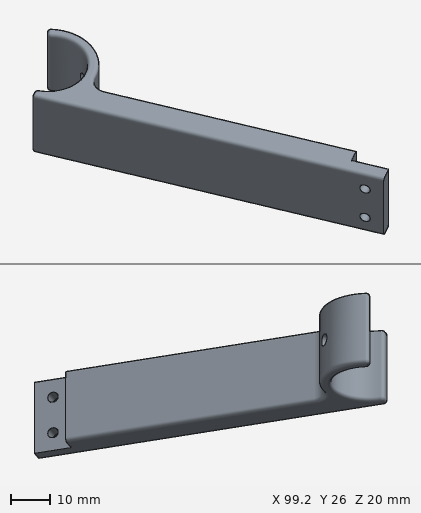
import cadquery as cq
import math

width = 20.0
reach = 95.0
clip_outer_radius = 13.0
clip_inner_radius = 10.0
clip_overhang_angle = 20.0
bar_thickness = 8.0
neck_radius = 4.0
edge_radius = 1.0
step_length = 10.0
step_thickness = 4.0
mount_hole_diameter = 2.8
mount_hole_spacing = width / 2
clip_hole_diameter = 3.2
clip_hole_angle = 45.0
trim_allowance = 5.0

clip_center_y = clip_outer_radius
stock_end = reach + trim_allowance


def clip_point(radius, angle):
    """Point around the clip axis, with the angle in degrees from +X."""
    turn = math.radians(angle)
    return radius * math.cos(turn), clip_center_y + radius * math.sin(turn)


def make_body():
    """Clip and bar with a rounded neck between them and all edges rounded."""
    tip_angle = 90 + clip_overhang_angle
    neck_y = bar_thickness + neck_radius
    neck_distance = clip_outer_radius + neck_radius
    neck_angle = math.degrees(math.asin((neck_y - clip_center_y) / neck_distance))
    neck_x = neck_distance * math.cos(math.radians(neck_angle))
    neck_mid_turn = math.radians((180 + neck_angle + 270) / 2)
    neck_middle = (
        neck_x + neck_radius * math.cos(neck_mid_turn),
        neck_y + neck_radius * math.sin(neck_mid_turn),
    )
    profile = (
        cq.Workplane("XY")
        .workplane(offset=-width / 2)
        .moveTo(0, 0)
        .lineTo(stock_end, 0)
        .lineTo(stock_end, bar_thickness)
        .lineTo(neck_x, bar_thickness)
        .threePointArc(neck_middle, clip_point(clip_outer_radius, neck_angle))
        .threePointArc(
            clip_point(clip_outer_radius, (neck_angle + tip_angle) / 2),
            clip_point(clip_outer_radius, tip_angle),
        )
        .lineTo(*clip_point(clip_inner_radius, tip_angle))
        .threePointArc(
            clip_point(clip_inner_radius, 0),
            clip_point(clip_inner_radius, -90),
        )
        .close()
    )
    tip_box = cq.selectors.BoxSelector(
        (-clip_outer_radius, -edge_radius, -width),
        (edge_radius, 2 * clip_outer_radius, width),
    )
    body = profile.extrude(width)
    tip_edges = body.edges("|Z").edges(tip_box)
    rim_edges = body.faces("<Z or >Z").edges()
    return rim_edges.add(tip_edges).fillet(edge_radius)


def make_end_cutters():
    """Blocks that trim the bar square and step its far end."""
    trim = cq.Workplane("XY").box(
        2 * trim_allowance, 2 * bar_thickness, 2 * width, centered=(False, True, True)
    ).translate((reach, 0, 0))
    step = cq.Workplane("XY").box(
        step_length + trim_allowance, bar_thickness, 2 * width, centered=(False, False, True)
    ).translate((reach - step_length, step_thickness, 0))
    return trim.union(step)


def make_mount_holes():
    """Two holes through the thin end of the bar."""
    return (
        cq.Workplane("XZ", origin=(reach - step_length / 2, bar_thickness, 0))
        .pushPoints([(0, -mount_hole_spacing / 2), (0, mount_hole_spacing / 2)])
        .circle(mount_hole_diameter / 2)
        .extrude(2 * bar_thickness)
    )


def make_clip_hole():
    """Radial hole through the clip wall."""
    turn = math.radians(clip_hole_angle)
    direction = cq.Vector(math.cos(turn), math.sin(turn), 0)
    axis_point = cq.Vector(0, clip_center_y, 0)
    return cq.Solid.makeCylinder(
        clip_hole_diameter / 2, 2 * clip_outer_radius, axis_point, direction
    )


result = make_body().cut(make_end_cutters()).cut(make_mount_holes()).cut(make_clip_hole())